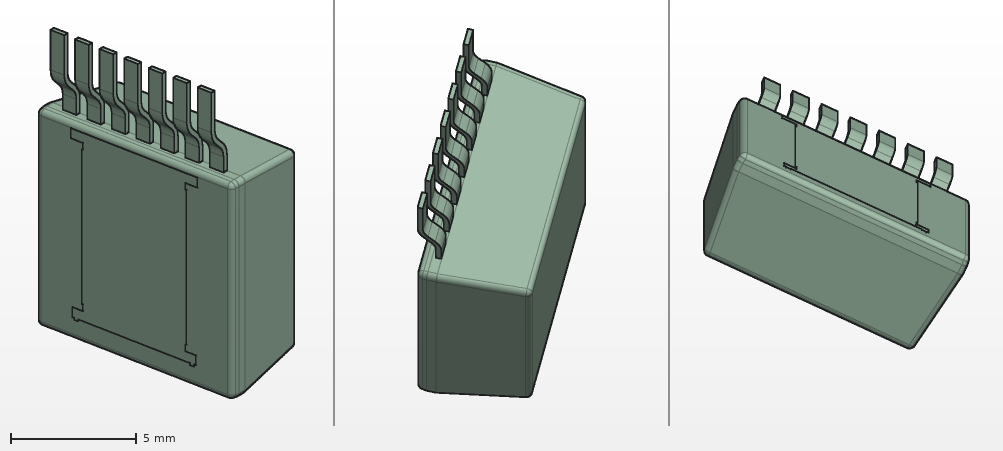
import cadquery as cq
import math


overall_height = 13.77

housing_width = 10.16
housing_height = 9.85
housing_depth = 4.57
band_front = 0.4
band_back = 0.78
draft_angle = 7
edge_radius = 0.25

lead_count = 7
lead_pitch = 1.27
lead_width = 0.72
lead_thickness = 0.22
lead_root_length = 0.72
lead_jog = 0.76
bend_angle = 45
bend_radius = 0.78

pad_thickness = lead_thickness
pad_half_width = 2.7
pad_top = housing_height - 0.3
pad_bottom = 1.02
flange_height = 0.45
top_flange_half_width = 3.28
bottom_flange_half_width = 3.2
notch_height = 0.3
notch_depth = 0.05
foot_outer = 3.1
foot_inner = 2.89
foot_height = 0.09


def band_section(y):
    """Full housing cross-section, drawn at depth y with its normal along +Y."""
    plane = cq.Plane(origin=(0, y, housing_height / 2), xDir=(1, 0, 0), normal=(0, 1, 0))
    return cq.Workplane(plane).rect(housing_width, housing_height)


def make_housing_block():
    """Solid housing: a straight band, tapered towards the front and the back, with rounded outer edges."""
    band = band_section(band_front).extrude(band_back - band_front)
    front_half = band_section(band_front).extrude(-band_front, taper=draft_angle)
    back_half = band_section(band_back).extrude(housing_depth - band_back, taper=draft_angle)
    block = band.union(front_half).union(back_half)
    lengthwise_edges = block.edges("(not #Y) and (not |X) and (not |Z)")
    end_edges = block.faces("<Y or >Y").edges()
    return lengthwise_edges.add(end_edges).fillet(edge_radius)


def make_pad():
    """Flanged plate, drawn as its right half and mirrored about x = 0."""
    top_flange_bottom = pad_top - flange_height
    bottom_flange_top = pad_bottom + flange_height
    notch_half_width = pad_half_width - notch_depth
    right_half = [
        (0, pad_top),
        (top_flange_half_width, pad_top),
        (top_flange_half_width, top_flange_bottom),
        (notch_half_width, top_flange_bottom),
        (notch_half_width, top_flange_bottom - notch_height),
        (pad_half_width, top_flange_bottom - notch_height),
        (pad_half_width, bottom_flange_top + notch_height),
        (notch_half_width, bottom_flange_top + notch_height),
        (notch_half_width, bottom_flange_top),
        (bottom_flange_half_width, bottom_flange_top),
        (bottom_flange_half_width, pad_bottom),
        (foot_outer, pad_bottom),
        (foot_outer, pad_bottom - foot_height),
        (foot_inner, pad_bottom - foot_height),
        (foot_inner, pad_bottom),
        (0, pad_bottom),
    ]
    return cq.Workplane("XZ").polyline(right_half).mirrorY().extrude(-pad_thickness)


def make_lead(x):
    """One lead centred on x, standing on top of the housing, flush with the band's back edge."""
    angle = math.radians(bend_angle)
    bend_rise = bend_radius * math.sin(angle)
    bend_shift = bend_radius * (1 - math.cos(angle))
    half_bend_rise = bend_radius * math.sin(angle / 2)
    half_bend_shift = bend_radius * (1 - math.cos(angle / 2))
    slope_shift = lead_jog - 2 * bend_shift
    slope_rise = slope_shift / math.tan(angle)

    root_y = band_back - lead_thickness / 2
    tip_y = root_y - lead_jog
    lower_bend_z = housing_height + lead_root_length
    upper_bend_z = lower_bend_z + 2 * bend_rise + slope_rise

    centre_line = (
        cq.Workplane("YZ", origin=(x, 0, 0))
        .moveTo(root_y, housing_height)
        .lineTo(root_y, lower_bend_z)
        .threePointArc(
            (root_y - half_bend_shift, lower_bend_z + half_bend_rise),
            (root_y - bend_shift, lower_bend_z + bend_rise),
        )
        .lineTo(tip_y + bend_shift, upper_bend_z - bend_rise)
        .threePointArc(
            (tip_y + half_bend_shift, upper_bend_z - half_bend_rise),
            (tip_y, upper_bend_z),
        )
        .lineTo(tip_y, overall_height)
    )
    section = cq.Workplane("XY", origin=(x, root_y, housing_height)).rect(lead_width, lead_thickness)
    return section.sweep(centre_line)


pad = make_pad()
housing = make_housing_block().cut(pad)
leads = [make_lead((i - (lead_count - 1) / 2) * lead_pitch) for i in range(lead_count)]

result = cq.Compound.makeCompound([housing.val(), pad.val(), *[lead.val() for lead in leads]])